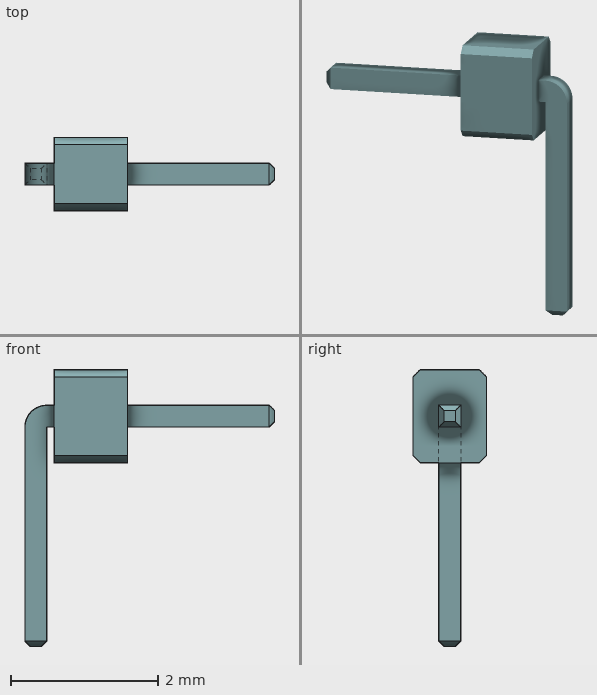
import cadquery as cq

body_length = 1.0
body_width = 1.0
body_height = 1.27
body_bevel = 0.1

pin_size = 0.3
pin_half = pin_size / 2
bend_radius = pin_size
tip_bevel = 0.075
overall_length = 3.4
overall_height = 3.77
bend_to_body = 0.4

leg_back = -pin_half
leg_front = pin_half
arm_end = leg_back + overall_length
leg_end = body_height / 2 - overall_height
body_start = leg_back + bend_to_body


def make_body():
    block = cq.Workplane("XY").box(body_length, body_width, body_height)
    block = block.translate((body_start + body_length / 2, 0, 0))
    return block.edges("|X").chamfer(body_bevel)


def make_pin():
    """L-shaped pin with a rounded outer corner, a sharp inner corner and tapered tips."""
    pin = (
        cq.Workplane("XZ")
        .moveTo(leg_back, leg_end)
        .lineTo(leg_front, leg_end)
        .lineTo(leg_front, -pin_half)
        .lineTo(arm_end, -pin_half)
        .lineTo(arm_end, pin_half)
        .lineTo(leg_back + bend_radius, pin_half)
        .radiusArc((leg_back, pin_half - bend_radius), -bend_radius)
        .close()
        .extrude(pin_half, both=True)
    )
    pin = pin.faces(">X").chamfer(tip_bevel)
    return pin.faces("<Z").chamfer(tip_bevel)


result = make_body().union(make_pin())